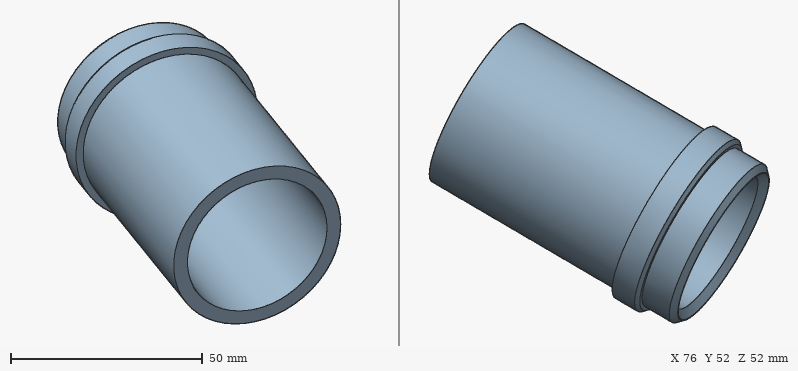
import cadquery as cq

length = 76.0
body_radius = 23.95
bore_radius = 20.0

nose_chamfer = 1.6
bore_entry_depth = 2.05
bore_entry_length = 2.05

collar_radius = 26.0
collar_start = 10.0
collar_width = 8.0
collar_chamfer = 1.0

collar_end = collar_start + collar_width

half_section = (
    cq.Workplane("XY")
    .moveTo(bore_entry_length, bore_radius)
    .lineTo(0, bore_radius + bore_entry_depth)
    .lineTo(0, body_radius - nose_chamfer)
    .lineTo(nose_chamfer, body_radius)
    .lineTo(collar_start, body_radius)
    .lineTo(collar_start, collar_radius - collar_chamfer)
    .lineTo(collar_start + collar_chamfer, collar_radius)
    .lineTo(collar_end, collar_radius)
    .lineTo(collar_end, body_radius)
    .lineTo(length, body_radius)
    .lineTo(length, bore_radius)
    .close()
)

result = half_section.revolve(360, (0, 0, 0), (1, 0, 0))